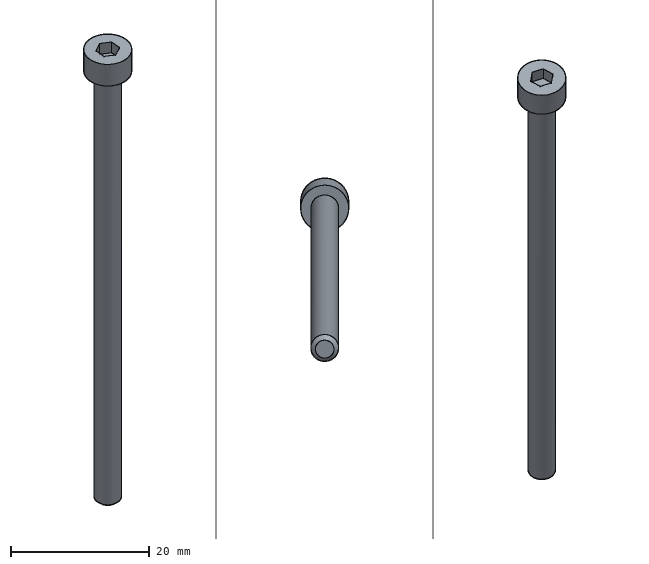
import cadquery as cq
import math

total_length = 84.0
head_diameter = 7.0
head_height = 4.0
shank_diameter = 4.0
tip_chamfer_height = 0.7
tip_chamfer_width = 0.7
socket_across_flats = 3.0
socket_depth = 2.0

shank_length = total_length - head_height
socket_across_corners = socket_across_flats / math.cos(math.pi / 6)


def make_shank():
    """Plain cylinder with a chamfered tip at Z = 0."""
    shank = cq.Workplane("XY").circle(shank_diameter / 2).extrude(shank_length)
    return shank.faces("<Z").chamfer(tip_chamfer_height, tip_chamfer_width)


def make_head():
    """Cylindrical head on top of the shank."""
    head_plane = cq.Workplane("XY").workplane(offset=shank_length)
    return head_plane.circle(head_diameter / 2).extrude(head_height)


def make_socket():
    """Hexagonal drive recess, with two corners on the X axis."""
    top_plane = cq.Workplane("XY").workplane(offset=total_length)
    return top_plane.polygon(6, socket_across_corners).extrude(-socket_depth)


result = make_shank().union(make_head()).cut(make_socket())